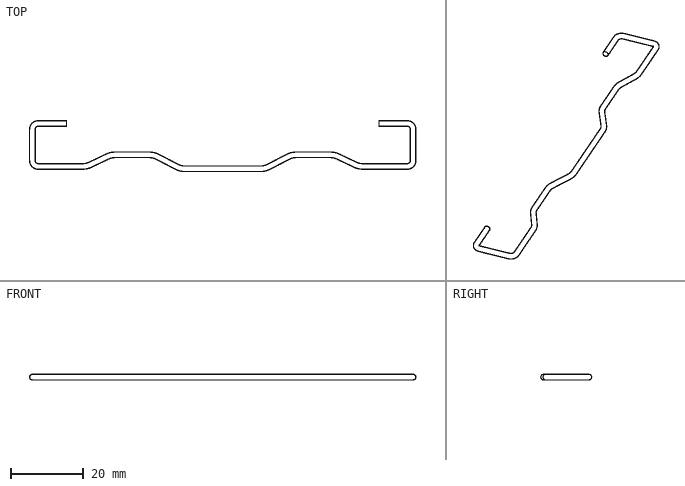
import cadquery as cq
import math

overall_length = 106.2
overall_depth = 14.0
wire_diameter = 1.6
corner_radius = 1.6
wave_radius = 4.5

hook_tip_x = 42.9
foot_inner_x = 37.4
crest_outer_x = 30.7
crest_inner_x = 19.0
base_end_x = 11.6
foot_height = 0.6
crest_height = 3.8

side_x = (overall_length - wire_diameter) / 2
hook_height = overall_depth - wire_diameter
base_y = -hook_height / 2

right_bends = [
    (base_end_x, 0, wave_radius),
    (crest_inner_x, crest_height, wave_radius),
    (crest_outer_x, crest_height, wave_radius),
    (foot_inner_x, foot_height, wave_radius),
    (side_x, foot_height, corner_radius),
    (side_x, hook_height, corner_radius),
]


def bend_points(before, corner, after, radius):
    """Return the start, middle and end of the arc that rounds a corner."""
    point = cq.Vector(*corner)
    to_before = (cq.Vector(*before) - point).normalized()
    to_after = (cq.Vector(*after) - point).normalized()
    half_angle = to_before.getAngle(to_after) / 2
    tangent_length = radius / math.tan(half_angle)
    middle_offset = radius / math.sin(half_angle) - radius
    bisector = (to_before + to_after).normalized()
    arc = (
        point + to_before * tangent_length,
        point + bisector * middle_offset,
        point + to_after * tangent_length,
    )
    return [(p.x, p.y) for p in arc]


def wire_centreline():
    """Draw the symmetric bent centreline from the left tip to the right tip."""
    left_bends = [(-x, height, radius) for x, height, radius in reversed(right_bends)]
    bends = left_bends + right_bends
    corners = [(x, base_y + height) for x, height, radius in bends]
    left_tip = (-hook_tip_x, base_y + hook_height)
    right_tip = (hook_tip_x, base_y + hook_height)
    points = [left_tip] + corners + [right_tip]

    path = cq.Workplane("XY").moveTo(*left_tip)
    for i, (x, height, radius) in enumerate(bends):
        start, middle, end = bend_points(points[i], points[i + 1], points[i + 2], radius)
        path = path.lineTo(*start).threePointArc(middle, end)
    return path.lineTo(*right_tip)


section_plane = cq.Workplane("YZ", origin=(-hook_tip_x, base_y + hook_height, 0))
result = section_plane.circle(wire_diameter / 2).sweep(wire_centreline())